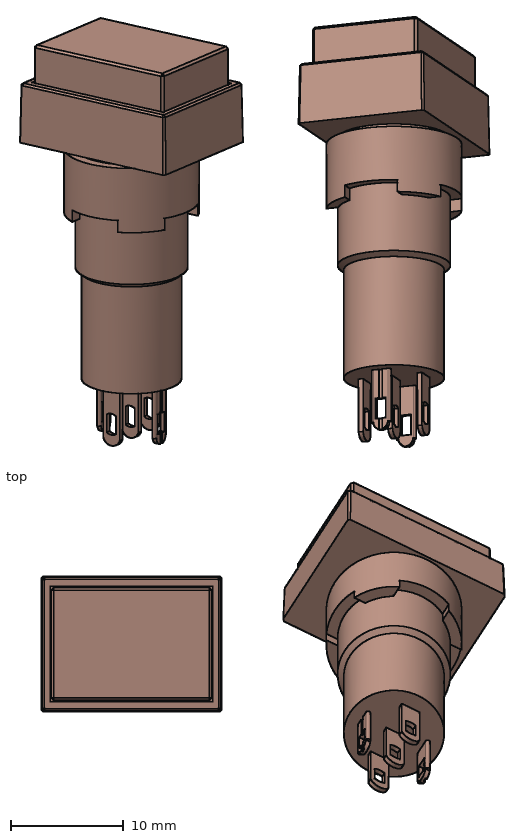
import cadquery as cq

total_height = 36.5
barrel_bottom = 5.5
shoulder_bottom = 15.48
nut_bottom = 21.02
nut_top = 27.0
bezel_bottom = 27.52
bezel_top = 33.05
recess_floor = 30.0

bezel_length = 16.0
bezel_width = 12.0
bezel_draft = 1.0
bezel_chamfer = 0.2
cap_length = 14.2
cap_width = 10.0
cap_chamfer = 0.22
cap_gap = 0.1

barrel_radius = 5.0
lower_barrel_radius = 4.45
shoulder_height = 0.4

nut_radius = bezel_width / 2
notch_width = 5.0
notch_depth = 1.1

blade_width = 1.82
blade_thickness = 0.45
blade_tip_height = 0.65
eye_width = 1.0
eye_bottom = 1.02
eye_top = 3.0
eye_arc_rise = 0.15
side_eye_top = 2.9
row_blade_offset = 2.8
side_blade_offset = 3.03
side_blade_chord = blade_width - blade_thickness
groove_width = 0.33
groove_depth = 0.15


def make_cap():
    """Rectangular push button standing on the floor of the bezel recess."""
    return (
        cq.Workplane("XY", origin=(0, 0, recess_floor))
        .rect(cap_length, cap_width)
        .extrude(total_height - recess_floor)
        .edges("|Z or >Z")
        .chamfer(cap_chamfer)
    )


def make_bezel():
    """Drafted rectangular collar with chamfered edges and a recess for the cap."""
    block = (
        cq.Workplane("XY", origin=(0, 0, bezel_bottom))
        .rect(bezel_length, bezel_width)
        .extrude(bezel_top - bezel_bottom, taper=bezel_draft)
        .edges("not (<Z or >Z)")
        .chamfer(bezel_chamfer)
        .faces(">Z")
        .edges()
        .chamfer(bezel_chamfer)
    )
    recess = (
        cq.Workplane("XY", origin=(0, 0, recess_floor))
        .rect(cap_length + 2 * cap_gap, cap_width + 2 * cap_gap)
        .extrude(bezel_top - recess_floor)
    )
    return block.cut(recess)


def make_barrel():
    """Stepped round barrel with a conical shoulder."""
    return (
        cq.Workplane("XZ")
        .moveTo(0, barrel_bottom)
        .lineTo(lower_barrel_radius, barrel_bottom)
        .lineTo(lower_barrel_radius, shoulder_bottom)
        .lineTo(barrel_radius, shoulder_bottom + shoulder_height)
        .lineTo(barrel_radius, bezel_bottom)
        .lineTo(0, bezel_bottom)
        .close()
        .revolve(360, (0, 0, 0), (0, 1, 0))
    )


def make_flat_blade(y_position):
    """Solder terminal facing Y, with an arched tip and an arched eye."""
    half_width = blade_width / 2
    half_eye = eye_width / 2
    plane = cq.Workplane("XZ", origin=(0, y_position, 0))
    outline = (
        plane.moveTo(-half_width, barrel_bottom)
        .lineTo(-half_width, blade_tip_height)
        .threePointArc((0, 0), (half_width, blade_tip_height))
        .lineTo(half_width, barrel_bottom)
        .close()
        .extrude(blade_thickness / 2, both=True)
    )
    eye = (
        plane.moveTo(-half_eye, eye_bottom + eye_arc_rise)
        .threePointArc((0, eye_bottom), (half_eye, eye_bottom + eye_arc_rise))
        .lineTo(half_eye, eye_top - eye_arc_rise)
        .threePointArc((0, eye_top), (-half_eye, eye_top - eye_arc_rise))
        .close()
        .extrude(blade_thickness, both=True)
    )
    return outline.cut(eye)


def make_side_blade(side):
    """Solder terminal facing X, with round edges, a round tip and a grooved outer face."""
    x_position = side * side_blade_offset
    half_chord = side_blade_chord / 2
    outline = (
        cq.Workplane("YZ", origin=(x_position, 0, 0))
        .moveTo(-half_chord, barrel_bottom)
        .lineTo(-half_chord, half_chord)
        .threePointArc((0, 0), (half_chord, half_chord))
        .lineTo(half_chord, barrel_bottom)
        .close()
        .extrude(blade_thickness / 2, both=True)
    )
    round_edges = (
        cq.Workplane("XY", origin=(x_position, 0, half_chord))
        .pushPoints([(0, -half_chord), (0, half_chord)])
        .circle(blade_thickness / 2)
        .extrude(barrel_bottom - half_chord)
    )
    eye = cq.Workplane("XY").box(2 * blade_thickness, eye_width, side_eye_top - eye_bottom)
    eye = eye.translate((x_position, 0, (side_eye_top + eye_bottom) / 2))
    groove = cq.Workplane("XY").box(2 * groove_depth, groove_width, barrel_bottom)
    outer_face = x_position + side * blade_thickness / 2
    groove = groove.translate((outer_face, 0, barrel_bottom / 2))
    return outline.union(round_edges).cut(eye).cut(groove)


def make_housing():
    """Bezel, barrel and terminals as one body."""
    housing = make_bezel().union(make_barrel())
    for y_position in (-row_blade_offset, 0, row_blade_offset):
        housing = housing.union(make_flat_blade(y_position))
    for side in (-1, 1):
        housing = housing.union(make_side_blade(side))
    return housing


def make_nut():
    """Mounting ring around the barrel, with wrench notches on its four sides."""
    ring = (
        cq.Workplane("XY", origin=(0, 0, nut_bottom))
        .circle(nut_radius)
        .circle(barrel_radius)
        .extrude(nut_top - nut_bottom)
    )
    notches = (
        cq.Workplane("XY", origin=(0, 0, nut_bottom))
        .rect(2 * nut_radius, notch_width)
        .extrude(notch_depth)
    )
    crossing_notches = notches.rotate((0, 0, 0), (0, 0, 1), 90)
    return ring.cut(notches).cut(crossing_notches)


cap = make_cap()
housing = make_housing()
nut = make_nut()

result = cq.Compound.makeCompound([cap.val(), housing.val(), nut.val()])